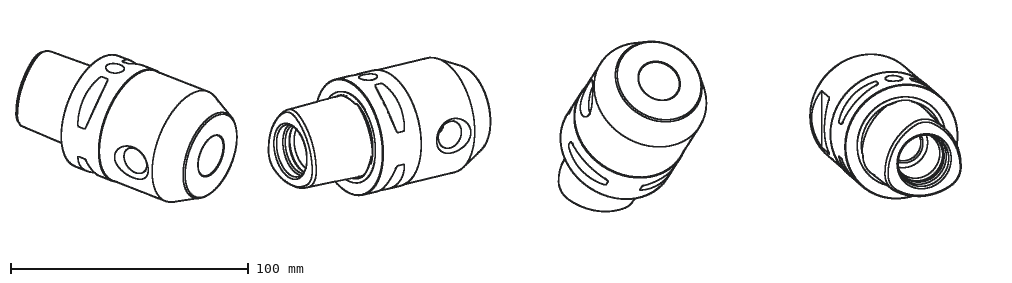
import cadquery as cq
import math

total_length = 90.0
shank_chamfer_length = 1.4
taper_end = 27.9
flange_start = 30.0
flange_end = 49.95
nose_start = 77.7
flange_diameter = 50.0
body_diameter = 49.5
nose_diameter = 38.2
edge_chamfer = 0.3
nose_edge_chamfer = 0.6

lobe_count = 3
lobe_radius = 10.0
lobe_center_distance = 8.7
flank_distance = 16.5
taper_angle = math.degrees(math.atan(1 / 40))
shank_chamfer_depth = 0.9

face_groove_inner_radius = 17.8
face_groove_outer_radius = 19.6
clip_cone_start = 28.1
clip_cone_end = 29.25
lobe_clearance = 0.9

entry_diameter = 24.0
entry_chamfer = 0.8
counterbore_diameter = entry_diameter - 2 * entry_chamfer
counterbore_depth = 4.05
collar_diameter = 21.0
collar_cone_length = 0.7
collar_end = 6.75
groove_end = 7.65
groove_cone_length = 1.35
inner_diameter = 20.0
inner_bore_end = 25.2
through_diameter = 14.4
through_chamfer = 0.7
tool_bore_diameter = 18.0
tool_bore_chamfer = 0.3
tool_bore_depth = 46.8

flange_middle = (flange_start + flange_end) / 2
slot_floor_distance = 22.1
slot_floor_width = 3.8
slot_wall_angle = 27.0
slot_floor_fillet = 0.9
slot_count = 4
dimple_diameter = 8.1
dimple_half_angle = 60.0

screw_position = 66.6
screw_diameter = 11.9
countersink_diameter = 17.55
trough_floor_distance = 21.4
trough_floor_width = 10.3
trough_wall_angle = 45.0

body_radius = body_diameter / 2
flange_radius = flange_diameter / 2


def revolve_x(points):
    """Solid of revolution about X from (x, radius) points."""
    return cq.Workplane("XY").polyline(points).close().revolve(360, (0, 0, 0), (1, 0, 0))


def rounded_triangle(workplane, inset):
    """Lobes at the top and lower sides, joined by tangent flank arcs; inset shrinks it evenly."""
    lobe = lobe_radius - inset
    flank = flank_distance - inset
    offset = flank - lobe_center_distance / 2
    half_span = lobe_center_distance * math.sin(math.pi / lobe_count)
    flank_radius = (half_span**2 + offset**2 - lobe**2) / (2 * (offset - lobe))
    flank_half_angle = math.asin(half_span / (flank_radius - lobe))
    lobe_half_angle = math.pi / lobe_count - flank_half_angle

    def lobe_point(center_angle, turn):
        normal = center_angle + turn
        return (
            lobe_center_distance * math.cos(center_angle) + lobe * math.cos(normal),
            lobe_center_distance * math.sin(center_angle) + lobe * math.sin(normal),
        )

    step = 2 * math.pi / lobe_count
    outline = workplane.moveTo(*lobe_point(math.pi / 2, -lobe_half_angle))
    for index in range(lobe_count):
        angle = math.pi / 2 + index * step
        flank_angle = angle + step / 2
        flank_point = (flank * math.cos(flank_angle), flank * math.sin(flank_angle))
        outline = outline.threePointArc(lobe_point(angle, 0), lobe_point(angle, lobe_half_angle))
        outline = outline.threePointArc(flank_point, lobe_point(angle + step, -lobe_half_angle))
    return outline.close()


def plane_at(x):
    return cq.Workplane("YZ", origin=(x, 0, 0))


def make_body():
    body = revolve_x([
        (flange_start, 0),
        (flange_start, flange_radius - edge_chamfer),
        (flange_start + edge_chamfer, flange_radius),
        (flange_end - edge_chamfer, flange_radius),
        (flange_end, body_radius),
        (nose_start - edge_chamfer, body_radius),
        (nose_start + edge_chamfer, body_radius - edge_chamfer),
        (total_length - nose_edge_chamfer, nose_diameter / 2),
        (total_length, nose_diameter / 2 - nose_edge_chamfer),
        (total_length, 0),
    ])
    groove_radius = (face_groove_outer_radius - face_groove_inner_radius) / 2
    groove_center_radius = face_groove_inner_radius + groove_radius
    groove = cq.Solid.makeTorus(
        groove_center_radius, groove_radius, cq.Vector(flange_start, 0, 0), cq.Vector(1, 0, 0)
    )
    return body.cut(cq.Workplane(obj=groove))


def make_shank():
    taper_length = taper_end - shank_chamfer_length
    small_inset = taper_length * math.tan(math.radians(taper_angle))
    neck = rounded_triangle(plane_at(taper_end), 0).extrude(flange_start - taper_end)
    taper = rounded_triangle(plane_at(shank_chamfer_length), small_inset)
    taper = taper.workplane(offset=taper_length)
    taper = rounded_triangle(taper, 0).loft(ruled=True)
    tip = rounded_triangle(plane_at(0), small_inset + shank_chamfer_depth)
    tip = tip.workplane(offset=shank_chamfer_length)
    tip = rounded_triangle(tip, small_inset).loft(ruled=True)
    lobe_tip = lobe_center_distance + lobe_radius
    envelope = revolve_x([
        (taper_end, 0),
        (taper_end, lobe_tip + lobe_clearance),
        (clip_cone_start, lobe_tip),
        (clip_cone_end, face_groove_inner_radius),
        (flange_start, face_groove_inner_radius),
        (flange_start, 0),
    ])
    return neck.intersect(envelope).union(taper).union(tip)


def make_bores():
    tool_bore_start = total_length - tool_bore_depth
    return revolve_x([
        (0, 0),
        (0, entry_diameter / 2),
        (entry_chamfer, counterbore_diameter / 2),
        (counterbore_depth, counterbore_diameter / 2),
        (counterbore_depth + collar_cone_length, collar_diameter / 2),
        (collar_end, collar_diameter / 2),
        (collar_end, counterbore_diameter / 2),
        (groove_end, counterbore_diameter / 2),
        (groove_end + groove_cone_length, inner_diameter / 2),
        (inner_bore_end, inner_diameter / 2),
        (inner_bore_end, through_diameter / 2 + through_chamfer),
        (inner_bore_end + through_chamfer, through_diameter / 2),
        (tool_bore_start, through_diameter / 2),
        (tool_bore_start, tool_bore_diameter / 2),
        (total_length - tool_bore_chamfer, tool_bore_diameter / 2),
        (total_length, tool_bore_diameter / 2 + tool_bore_chamfer),
        (total_length, 0),
    ])


def make_trough(x, floor_distance, floor_width, wall_angle):
    """Straight trough facing +Z with walls leaning outwards from the radial direction."""
    height = flange_radius - floor_distance
    top_width = floor_width + 2 * height * math.tan(math.radians(wall_angle))
    return (
        cq.Workplane("XZ")
        .polyline([
            (x - floor_width / 2, floor_distance),
            (x + floor_width / 2, floor_distance),
            (x + top_width / 2, flange_radius),
            (x - top_width / 2, flange_radius),
        ])
        .close()
        .extrude(flange_radius, both=True)
    )


def turn_about_axis(shape, angle):
    return shape.rotate((0, 0, 0), (1, 0, 0), angle)


def make_dimple():
    radius = dimple_diameter / 2
    depth = radius / math.tan(math.radians(dimple_half_angle))
    cone = cq.Solid.makeCone(
        radius, 0, depth, cq.Vector(flange_middle, 0, flange_radius), cq.Vector(0, 0, -1)
    )
    return cq.Workplane(obj=cone)


def make_screw_hole():
    """Hole from the -Y side into the tool bore, with a 90 degree countersink."""
    start = cq.Vector(screw_position, -body_radius, 0)
    inward = cq.Vector(0, 1, 0)
    countersink_depth = (countersink_diameter - screw_diameter) / 2
    hole = cq.Solid.makeCylinder(screw_diameter / 2, body_radius, start, inward)
    countersink = cq.Solid.makeCone(
        countersink_diameter / 2, screw_diameter / 2, countersink_depth, start, inward
    )
    return cq.Workplane(obj=hole).union(cq.Workplane(obj=countersink))


result = make_body().union(make_shank()).cut(make_bores())

slot = make_trough(flange_middle, slot_floor_distance, slot_floor_width, slot_wall_angle)
slot = slot.faces("<Z").edges("|Y").fillet(slot_floor_fillet)
slot_spacing = 360 / slot_count
for slot_index in range(slot_count):
    result = result.cut(turn_about_axis(slot, (slot_index + 0.5) * slot_spacing))

trough = make_trough(
    screw_position, trough_floor_distance, trough_floor_width, trough_wall_angle
)
result = result.cut(turn_about_axis(trough, -90))
result = result.cut(make_dimple()).cut(make_screw_hole())